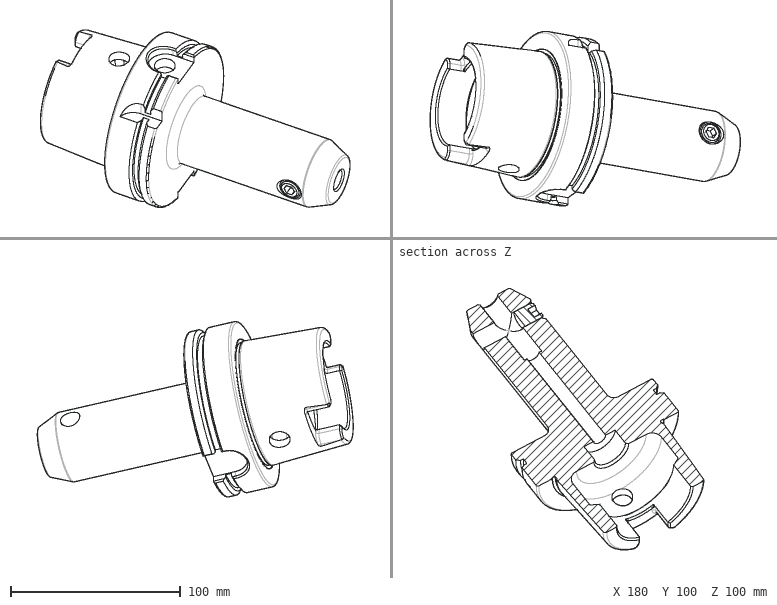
import cadquery as cq
import math

total_length = 180.0

shank_end_radius = 35.3
shank_big_radius = 37.6
taper_length = 47.5
shank_end_fillet = 1.6
relief_start = 48.6
relief_radius = 37.0
relief_outer_radius = 39.2
relief_depth = 0.5

flange_start = 50.0
flange_end = 79.0
flange_radius = 50.0
flange_edge_fillet = 1.0
groove_left = 66.6
groove_right = 73.3
groove_floor_left = 67.9
groove_floor_right = 71.5
groove_floor_radius = 45.9
groove_wall_top_radius = 47.9

neck_radius = 21.0
neck_fillet = 4.9
nose_start = 166.7
nose_start_fillet = 1.3
nose_end_radius = 15.1
nose_end_fillet = 1.5

clamp_bore_radius = 26.0
clamp_bore_depth = 46.8
clamp_cavity_radius = 31.0
clamp_cavity_start = 19.5
clamp_cavity_angle = 60.0
clamp_floor_fillet = 6.5
coolant_thread_radius = 10.8
coolant_thread_depth = 12.6
coolant_thread_chamfer = 1.5
coolant_hole_radius = 4.1
tool_bore_radius = 6.0
tool_bore_depth = 48.6
bore_chamfer = 1.0

keyway_half_width = 9.9
keyway_corner_radius = 4.7
keyway_straight_top = 27.5
keyway_floor_fillet = 1.6
keyway_edge_chamfer = 1.0
top_keyway_depth = 10.0
bottom_keyway_depth = 15.5

cross_hole_x = 35.0
cross_hole_radius = 6.1

slot_center_x = 65.3
slot_half_width = 10.3
slot_floor_z = 44.0
slot_edge_chamfer = 1.0
chip_hole_x = 65.0
chip_hole_radius = 6.1
chip_hole_depth = 6.8

notch_offset = 31.3
notch_cutter_radius = 10.0
notch_center_x = 65.0

screw_x = 157.7
screw_radius = 6.0
screw_face_y = -20.9
screw_tip_y = -7.5
screw_chamfer = 0.9
hex_across_flats = 6.0
hex_depth = 5.0
screw_recess_radius = 6.8
screw_recess_y = -19.8

clearance = 1.8


def revolve_about_x(sketch):
    """Turn an (X, radius) profile around the X axis."""
    return sketch.close().revolve(360, (0, 0, 0), (1, 0, 0))


def x_cylinder(radius, start, end):
    return cq.Workplane("YZ", origin=(start, 0, 0)).circle(radius).extrude(end - start)


def x_cone(start, start_radius, end, end_radius):
    profile = (
        cq.Workplane("XY")
        .moveTo(start, 0)
        .lineTo(start, start_radius)
        .lineTo(end, end_radius)
        .lineTo(end, 0)
    )
    return revolve_about_x(profile)


def make_shank():
    shank = x_cone(0, shank_end_radius, taper_length, shank_big_radius)
    shank = shank.faces("<X").edges().fillet(shank_end_fillet)
    collar = x_cylinder(shank_big_radius, taper_length, relief_start)
    relief = x_cylinder(relief_radius, relief_start, flange_start + relief_depth)
    return shank.union(collar).union(relief)


def drive_slot(side):
    """U-shaped slot, open towards the neck; side is +1 for the top and -1 for the bottom."""
    slot = (
        cq.Workplane("XY", origin=(0, 0, slot_floor_z))
        .moveTo(flange_end, -slot_half_width)
        .lineTo(slot_center_x, -slot_half_width)
        .threePointArc((slot_center_x - slot_half_width, 0), (slot_center_x, slot_half_width))
        .lineTo(flange_end, slot_half_width)
        .close()
        .extrude(flange_radius)
    )
    return slot if side > 0 else slot.rotate((0, 0, 0), (1, 0, 0), 180)


def slot_rim_selector(side):
    """Box around the rim edges of one drive slot, without its floor."""
    rim_low = side * (slot_floor_z + clearance)
    rim_high = side * (flange_radius + clearance)
    reach = slot_half_width + clearance
    return cq.selectors.BoxSelector(
        (slot_center_x - reach, -reach, min(rim_low, rim_high)),
        (flange_end - clearance, reach, max(rim_low, rim_high)),
    )


def make_flange():
    flange = x_cylinder(flange_radius, flange_start, flange_end)
    for side in (1, -1):
        flange = flange.cut(drive_slot(side))
        flange = flange.edges(slot_rim_selector(side)).chamfer(slot_edge_chamfer)

    rounded_envelope = x_cylinder(flange_radius, flange_start, flange_end).edges().fillet(flange_edge_fillet)
    flange = flange.intersect(rounded_envelope)

    groove = revolve_about_x(
        cq.Workplane("XY")
        .moveTo(groove_floor_left, groove_floor_radius)
        .lineTo(groove_floor_right, groove_floor_radius)
        .lineTo(groove_floor_right, groove_wall_top_radius)
        .lineTo(groove_right, flange_radius)
        .lineTo(groove_left, flange_radius)
        .lineTo(groove_floor_left, groove_wall_top_radius)
    )
    face_relief = x_cylinder(relief_outer_radius, flange_start, flange_start + relief_depth)
    return flange.cut(groove).cut(face_relief)


def make_neck():
    neck = revolve_about_x(
        cq.Workplane("XY")
        .moveTo(flange_end, 0)
        .lineTo(flange_end, neck_radius)
        .lineTo(nose_start, neck_radius)
        .lineTo(total_length, nose_end_radius)
        .lineTo(total_length, 0)
    )
    neck = neck.faces(">X").edges().fillet(nose_end_fillet)
    nose_corner = cq.selectors.BoxSelector(
        (nose_start - clearance, -flange_radius, -flange_radius),
        (nose_start + clearance, flange_radius, flange_radius),
        boundingbox=True,
    )
    return neck.edges(nose_corner).fillet(nose_start_fillet)


def neck_root():
    """Concave ring that blends the neck into the flange."""
    arc_offset = neck_fillet * (1 - math.sqrt(0.5))
    return revolve_about_x(
        cq.Workplane("XY")
        .moveTo(flange_end, 0)
        .lineTo(flange_end, neck_radius + neck_fillet)
        .threePointArc(
            (flange_end + arc_offset, neck_radius + arc_offset),
            (flange_end + neck_fillet, neck_radius),
        )
        .lineTo(flange_end + neck_fillet, 0)
    )


def axial_bores():
    flare_length = (clamp_cavity_radius - clamp_bore_radius) / math.tan(math.radians(clamp_cavity_angle))
    clamp_bore = revolve_about_x(
        cq.Workplane("XY")
        .lineTo(0, clamp_bore_radius)
        .lineTo(clamp_cavity_start, clamp_bore_radius)
        .lineTo(clamp_cavity_start + flare_length, clamp_cavity_radius)
        .lineTo(clamp_bore_depth, clamp_cavity_radius)
        .lineTo(clamp_bore_depth, 0)
    )
    clamp_bore = clamp_bore.faces(">X").edges().fillet(clamp_floor_fillet)
    clamp_mouth = x_cone(0, clamp_bore_radius + bore_chamfer, bore_chamfer, clamp_bore_radius)

    thread_end = clamp_bore_depth + coolant_thread_depth
    coolant_thread = x_cylinder(coolant_thread_radius, clamp_bore_depth, thread_end)
    coolant_mouth = x_cone(
        clamp_bore_depth,
        coolant_thread_radius + coolant_thread_chamfer,
        clamp_bore_depth + coolant_thread_chamfer,
        coolant_thread_radius,
    )
    coolant_hole = x_cylinder(coolant_hole_radius, clamp_bore_depth, total_length)

    tool_bore = x_cylinder(tool_bore_radius, total_length - tool_bore_depth, total_length)
    tool_mouth = x_cone(
        total_length - bore_chamfer, tool_bore_radius, total_length, tool_bore_radius + bore_chamfer
    )
    bores = clamp_bore
    for bore in (clamp_mouth, coolant_thread, coolant_mouth, coolant_hole, tool_bore, tool_mouth):
        bores = bores.union(bore)
    return bores


def keyway_profile(widening):
    """Keyway section across the axis: straight walls that flare out over rounded shank corners."""
    half_width = keyway_half_width + widening
    radius = keyway_corner_radius - widening
    flare_y = half_width + radius
    flare_z = keyway_straight_top + radius
    mid_y = flare_y - radius * math.sqrt(0.5)
    mid_z = keyway_straight_top + radius * math.sqrt(0.5)
    outside = shank_big_radius + clearance
    return (
        cq.Workplane("YZ")
        .moveTo(-half_width, 0)
        .lineTo(-half_width, keyway_straight_top)
        .threePointArc((-mid_y, mid_z), (-flare_y, flare_z))
        .lineTo(-outside, flare_z)
        .lineTo(-outside, outside)
        .lineTo(outside, outside)
        .lineTo(outside, flare_z)
        .lineTo(flare_y, flare_z)
        .threePointArc((mid_y, mid_z), (half_width, keyway_straight_top))
        .lineTo(half_width, 0)
        .close()
    )


def keyway(depth, side):
    """Drive keyway of the given depth; side is +1 for the top and -1 for the bottom."""
    cutter = keyway_profile(0).extrude(depth)
    cutter = cutter.faces(">X").edges("not <Z").fillet(keyway_floor_fillet)
    edge_chamfer = keyway_profile(keyway_edge_chamfer).extrude(keyway_edge_chamfer, taper=45)
    floor_chamfer = x_cone(
        depth, clamp_bore_radius + bore_chamfer, depth + bore_chamfer, clamp_bore_radius
    ).intersect(keyway_profile(0).extrude(depth + bore_chamfer))
    cutter = cutter.union(edge_chamfer).union(floor_chamfer)
    return cutter if side > 0 else cutter.rotate((0, 0, 0), (1, 0, 0), 180)


def cross_hole():
    return (
        cq.Workplane("XY", origin=(cross_hole_x, 0, 0))
        .circle(cross_hole_radius)
        .extrude(flange_radius, both=True)
    )


def chip_hole():
    return (
        cq.Workplane("XY", origin=(chip_hole_x, 0, slot_floor_z))
        .circle(chip_hole_radius)
        .extrude(-chip_hole_depth)
    )


def orientation_notch():
    """Corner notch: upright inner wall, level floor, rounded inner end."""
    wall_y = -notch_offset
    round_center_y = wall_y - notch_cutter_radius
    round_end = (notch_center_x - notch_cutter_radius, round_center_y)
    arc_leg = notch_cutter_radius * math.sqrt(0.5)
    return (
        cq.Workplane("XY", origin=(0, 0, notch_offset))
        .moveTo(flange_end, wall_y)
        .lineTo(notch_center_x, wall_y)
        .threePointArc((notch_center_x - arc_leg, round_center_y + arc_leg), round_end)
        .lineTo(round_end[0], -flange_radius)
        .lineTo(flange_end, -flange_radius)
        .close()
        .extrude(flange_radius)
    )


def y_cylinder(radius, start, end):
    return cq.Workplane("XZ", origin=(screw_x, start, 0)).circle(radius).extrude(start - end)


def screw_hole():
    """Hole across the neck, with a flat-bottomed, 45 degree flared recess around the screw head."""
    countersink = cq.Solid.makeCone(
        screw_recess_radius,
        screw_recess_radius + clearance,
        clearance,
        cq.Vector(screw_x, screw_recess_y, 0),
        cq.Vector(0, -1, 0),
    )
    return y_cylinder(screw_radius, neck_radius, -neck_radius).union(cq.Workplane(countersink))


def make_holder():
    holder = make_shank().union(make_flange()).union(make_neck()).union(neck_root())
    holder = holder.cut(axial_bores())
    holder = holder.cut(keyway(top_keyway_depth, 1)).cut(keyway(bottom_keyway_depth, -1))
    holder = holder.cut(cross_hole()).cut(chip_hole()).cut(orientation_notch())
    return holder.cut(screw_hole())


def make_screw():
    screw = y_cylinder(screw_radius, screw_tip_y, screw_face_y)
    screw = screw.faces("<Y").edges().chamfer(screw_chamfer)
    hex_across_corners = hex_across_flats / math.cos(math.pi / 6)
    socket = (
        cq.Workplane("XZ", origin=(screw_x, screw_face_y, 0))
        .polygon(6, hex_across_corners)
        .extrude(-hex_depth)
    )
    return screw.cut(socket)


holder = make_holder()
clamping_screw = make_screw()

result = cq.Compound.makeCompound([holder.val(), clamping_screw.val()])